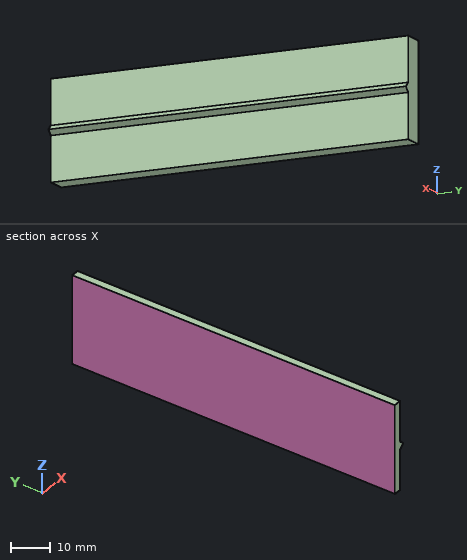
import cadquery as cq

length = 101.6
height = 27.2
overall_width = 7.3
plate_thickness = 6.0

ridge_projection = overall_width - plate_thickness
ridge_half_height = ridge_projection

plate = cq.Workplane("XY").box(
    plate_thickness, length, height, centered=(False, True, True)
)

ridge = (
    cq.Workplane("XZ")
    .moveTo(plate_thickness, -ridge_half_height)
    .lineTo(overall_width, 0)
    .lineTo(plate_thickness, ridge_half_height)
    .close()
    .extrude(length / 2, both=True)
)

result = plate.union(ridge)